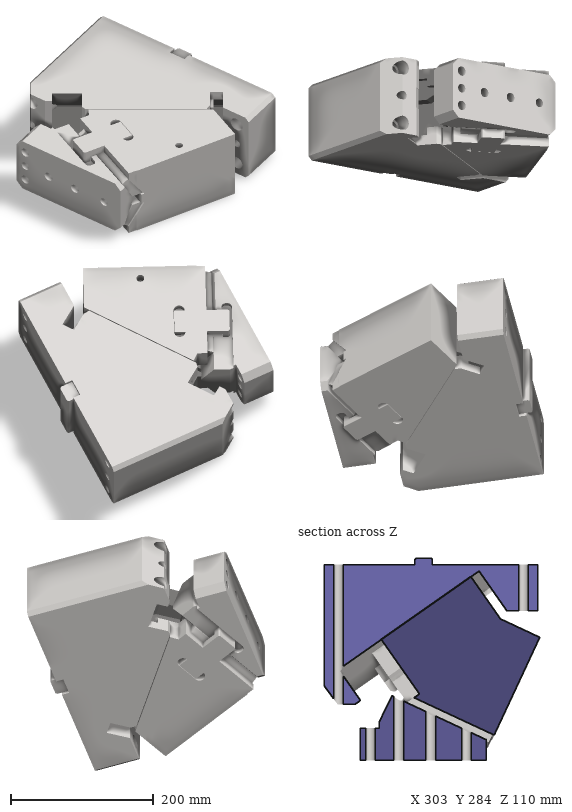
import cadquery as cq
import math


SLIDE_ANGLE = 35.0
DRIVE_ANGLE = -25.0
CHANNEL_SLOPE = math.tan(math.radians(35.0))
RIDGE_SLOPE = math.tan(math.radians(30.0))
PLATE_BACK_SLOPE = math.tan(math.radians(35.0))

BODY_HALF = 110.0 / 2
BASE_LENGTH = 300.2
BASE_TOP = 275.0
BASE_CHAMFER = 5.8
LUG_BOTTOM = 78.5
LUG_BEVEL_X = 19.5
LUG_BEVEL_TOP = 104.8
LUG_FLAT_END = 44.0
ARM_BOTTOM = 210.0
ARM_CORNER_X = 256.0
LIP_FACE = 90.5
NOSE_START = 132.5
NOSE_END = 312.0
ARM_FACE = 330.2
NOSE_BEVEL = 4.5
NOSE_FACE = 22.0
LIP_TIP = 38.8
POCKET_FLOOR = 55.0
SLOT_FLOOR = 58.8
NOSE_BEVEL_START = 4.5
NOSE_BEVEL_END = 7.5
LIP_RECESS_HALF = 14.5
LIP_RECESS_DEPTH = 0.5
LIP_RECESS_START = 78.8

NECK_HALF = 30.0
HEAD_HALF = 41.0
HEAD_START = 41.2
V_FLAT_HALF = 1.5

BOLT_X = 20.5
LUG_BOLT_Z = 40.0
ARM_BOLT_Z = 35.0
BOLT_HOLE = 13.0
BOLT_HEAD = 20.0
BOLT_HEAD_DEPTH = 24.2
DOWEL_HOLE = 12.5

KEY_LEFT = 127.2
KEY_WIDTH = 25.0
KEY_BOTTOM = 264.5
KEY_TOP = 284.0
KEY_HALF = 50.0
KEY_CHAMFER = 2.0

DRIVER_LEFT = 50.3
DRIVER_RIGHT = 228.0
DRIVER_HALF = 43.3
DRIVER_CHAMFER = 9.7
DRIVER_SHOULDER = 45.5
DRIVER_STEP_X = 77.2
DRIVER_STEP_TOP = 54.5
RIDGE_START = 48.0
RIDGE_EDGE = 100.3
RIDGE_TOP = 123.0
GROOVE_BOTTOM = 77.2
GROOVE_WIDTH = 14.8
GROOVE_END = 147.2
GROOVE_RADIUS = 6.0
GROOVE_FLOOR = 36.0

DRIVER_ROW_X = 65.0
DRIVER_ROW_Z = 24.8
DRIVER_BOLT_HOLE = 13.3
DRIVER_BOLT_XS = (104.8, 150.0)
DRIVER_DOWEL_XS = (DRIVER_ROW_X, 200.0)

GUIDE_GAP = 1.2
SLIDER_FACE = NOSE_FACE - GUIDE_GAP
SLIDER_START = 141.8
SLIDER_END = 317.0
SLIDER_LEFT = 64.0
SLIDER_RIGHT = 201.5
END_STEP_HEIGHT = 12.0
END_STEP_DEPTH = 1.0
SLIDER_SHOULDER = 127.5
SLIDER_BOTTOM = 113.3
SLIDER_CORNER = 284.8

PLATE_START = 74.0
PLATE_END = 198.5
PLATE_OUTER = 37.0
PLATE_INNER = 8.0
PLATE_ROUND = 1.5
PLATE_EDGE_RISE = 12.7
RELIEF_TOP = 133.0

SPRING_POCKET_DEPTH = 21.2
SPRING_POCKET_HALF = 18.2
SPRING_MIDDLE_HALF = 15.5
SPRING_NARROW_HALF = 12.7
SPRING_TAPER_START = 35.0
SPRING_TAPER_MIDDLE = 40.3
SPRING_TAPER_END = 44.8

CLAW_LEFT = 98.0
CLAW_RIGHT = 131.5
CLAW_TIP = 81.2
CLAW_ROOT = 158.7
CLAW_CHAMFER = 1.8
CLAW_HOOK_TOP = 90.5
CLAW_BAR_BOTTOM = 44.5
RELIEF_HOLE_OUT = 151.5
RELIEF_HOLE_RADIUS = 8.0
RELIEF_HOLE_DEPTH = 9.0

PIN_HOLE_X = 252.5
PIN_HOLE_Y = 107.8
PIN_HOLE = 11.0
PIN_HOLE_DEPTH = 18.2


def guide_point(angle, along, out):
    """XY point at a distance along a guide direction and square to it."""
    a = math.radians(angle)
    return (along * math.cos(a) - out * math.sin(a), along * math.sin(a) + out * math.cos(a))


def slide_point(along, out):
    return guide_point(SLIDE_ANGLE, along, out)


def drive_point(along, out):
    return guide_point(DRIVE_ANGLE, along, out)


def drive_rectangle(left, right, bottom, top):
    """Rectangle between two distances along and two square to the drive direction."""
    return [
        drive_point(left, bottom),
        drive_point(right, bottom),
        drive_point(right, top),
        drive_point(left, top),
    ]


def plate(points, bottom, top):
    """Flat plate with an XY outline between two Z levels."""
    return cq.Workplane("XY").workplane(offset=bottom).polyline(points).close().extrude(top - bottom)


def guide_prism(angle, section, start, end):
    """Prism along a guide direction; the section lists (out, Z) points."""
    a = math.radians(angle)
    plane = cq.Plane(
        origin=(start * math.cos(a), start * math.sin(a), 0),
        xDir=(-math.sin(a), math.cos(a), 0),
        normal=(math.cos(a), math.sin(a), 0),
    )
    return cq.Workplane(plane).polyline(section).close().extrude(end - start)


def mirrored_section(half_section):
    """Close a section by mirroring its upper half about Z = 0."""
    return half_section + [(out, -z) for out, z in reversed(half_section)]


def with_mirror(shape):
    return shape.union(shape.mirror("XY"))


def cylinder_along_y(x, z, diameter, start, end):
    return cq.Workplane("XZ", origin=(x, start, z)).circle(diameter / 2).extrude(start - end)


def channel_roof(z):
    """Height of the channel V flank, square to the slide direction."""
    return POCKET_FLOOR + (BODY_HALF - z) * CHANNEL_SLOPE


def ridge_flank(z):
    """Height of the driver ridge flank, square to the drive direction."""
    return RIDGE_EDGE + (DRIVER_HALF - z) * RIDGE_SLOPE


def rail_section(bottom):
    """T-shaped section with a V top, shared by the base channel and the slider rail."""
    return mirrored_section([
        (bottom, NECK_HALF),
        (HEAD_START, NECK_HALF),
        (HEAD_START, HEAD_HALF),
        (channel_roof(HEAD_HALF), HEAD_HALF),
        (channel_roof(V_FLAT_HALF), V_FLAT_HALF),
    ])


def base_block():
    outline = [
        (0, BASE_TOP),
        (0, LUG_BEVEL_TOP),
        (LUG_BEVEL_X, LUG_BOTTOM),
        (LUG_FLAT_END, LUG_BOTTOM),
        slide_point(LIP_FACE, LIP_TIP),
        slide_point(LIP_FACE, POCKET_FLOOR),
        slide_point(NOSE_START, POCKET_FLOOR),
        slide_point(NOSE_START, NOSE_FACE + NOSE_BEVEL_START),
        slide_point(NOSE_START + NOSE_BEVEL, NOSE_FACE),
        slide_point(NOSE_END - NOSE_BEVEL, NOSE_FACE),
        slide_point(NOSE_END, NOSE_FACE + NOSE_BEVEL_END),
        slide_point(NOSE_END, SLOT_FLOOR),
        slide_point(ARM_FACE, SLOT_FLOOR),
        (ARM_CORNER_X, ARM_BOTTOM),
        (BASE_LENGTH, ARM_BOTTOM),
        (BASE_LENGTH, BASE_TOP),
    ]
    block = plate(outline, -BODY_HALF, BODY_HALF)
    return block.edges("(<X or >X) and (<Z or >Z)").chamfer(BASE_CHAMFER)


def guide_channel():
    return guide_prism(SLIDE_ANGLE, rail_section(0), LIP_FACE, ARM_FACE)


def lug_groove():
    """Full-width V in the pocket floor beside the lug."""
    section = mirrored_section([
        (POCKET_FLOOR, BODY_HALF),
        (channel_roof(V_FLAT_HALF), V_FLAT_HALF),
    ])
    return guide_prism(SLIDE_ANGLE, section, LIP_FACE, NOSE_START)


def lip_recess():
    """Shallow recess across the middle of the lip tip."""
    section = mirrored_section([
        (0, LIP_RECESS_HALF),
        (LIP_TIP + LIP_RECESS_DEPTH, LIP_RECESS_HALF),
    ])
    return guide_prism(SLIDE_ANGLE, section, LIP_RECESS_START, LIP_FACE)


def mounting_holes():
    """Two counterbored bolt holes and a dowel hole through both ends of the base."""
    holes = cq.Workplane("XY")
    rows = (
        (BOLT_X, LUG_BOTTOM, LUG_BOLT_Z),
        (BASE_LENGTH - BOLT_X, ARM_BOTTOM, ARM_BOLT_Z),
    )
    for x, bottom, bolt_z in rows:
        holes = holes.add(cylinder_along_y(x, 0, DOWEL_HOLE, bottom, BASE_TOP))
        for z in (-bolt_z, bolt_z):
            holes = holes.add(cylinder_along_y(x, z, BOLT_HOLE, bottom, BASE_TOP))
            holes = holes.add(cylinder_along_y(x, z, BOLT_HEAD, bottom, bottom + BOLT_HEAD_DEPTH))
    return holes.combine()


def keyway():
    return cq.Workplane("XY").box(
        KEY_WIDTH, BASE_TOP - KEY_BOTTOM, 2 * BODY_HALF, centered=(False, False, True)
    ).translate((KEY_LEFT, KEY_BOTTOM, 0))


def key():
    bar = cq.Workplane("XY").box(
        KEY_WIDTH, KEY_TOP - KEY_BOTTOM, 2 * KEY_HALF, centered=(False, False, True)
    )
    return bar.edges(">Y and |Z").chamfer(KEY_CHAMFER).translate((KEY_LEFT, KEY_BOTTOM, 0))


def make_base():
    base = base_block().cut(guide_channel()).cut(lug_groove()).cut(lip_recess())
    base = base.cut(mounting_holes())
    return base.cut(keyway()).union(key())


def driver_block():
    ridge_tip = drive_point(RIDGE_START, RIDGE_TOP)
    slope = math.tan(math.radians(DRIVE_ANGLE))
    outline = [
        (DRIVER_LEFT, 0),
        (DRIVER_RIGHT, 0),
        (DRIVER_RIGHT, ridge_tip[1] + (DRIVER_RIGHT - ridge_tip[0]) * slope),
        ridge_tip,
        (DRIVER_STEP_X, DRIVER_STEP_TOP),
        (DRIVER_STEP_X, DRIVER_SHOULDER),
        (DRIVER_LEFT, DRIVER_SHOULDER),
    ]
    block = plate(outline, -DRIVER_HALF, DRIVER_HALF)
    return block.edges("(<X or >X) and (<Z or >Z)").chamfer(DRIVER_CHAMFER)


def ridge_flank_cut():
    """Material removed above one flank of the V ridge."""
    flat_half = DRIVER_HALF - (RIDGE_TOP - RIDGE_EDGE) / RIDGE_SLOPE
    section = [
        (RIDGE_EDGE, DRIVER_HALF),
        (RIDGE_TOP, DRIVER_HALF),
        (RIDGE_TOP, flat_half),
    ]
    return guide_prism(DRIVE_ANGLE, section, 0, DRIVER_RIGHT)


def claw_groove():
    """Milled path of the claw: a round-ended groove, open upwards left of the claw."""
    groove_top = GROOVE_BOTTOM + GROOVE_WIDTH
    groove = plate(drive_rectangle(0, GROOVE_END, GROOVE_BOTTOM, groove_top), GROOVE_FLOOR, DRIVER_HALF)
    for out in (GROOVE_BOTTOM, groove_top):
        corner = cq.selectors.NearestToPointSelector((*drive_point(GROOVE_END, out), GROOVE_FLOOR))
        groove = groove.edges("|Z").edges(corner).fillet(GROOVE_RADIUS)
    open_part = plate(drive_rectangle(0, CLAW_RIGHT, GROOVE_BOTTOM, RIDGE_TOP), GROOVE_FLOOR, DRIVER_HALF)
    return groove.union(open_part)


def driver_holes():
    row = [(DRIVER_ROW_X, z, DRIVER_BOLT_HOLE) for z in (-DRIVER_ROW_Z, DRIVER_ROW_Z)]
    row += [(x, 0, DRIVER_BOLT_HOLE) for x in DRIVER_BOLT_XS]
    row += [(x, 0, DOWEL_HOLE) for x in DRIVER_DOWEL_XS]
    holes = cq.Workplane("XY")
    for x, z, diameter in row:
        holes = holes.add(cylinder_along_y(x, z, diameter, 0, RIDGE_TOP))
    return holes.combine()


def make_driver():
    driver = driver_block()
    driver = driver.cut(with_mirror(ridge_flank_cut()))
    driver = driver.cut(with_mirror(claw_groove()))
    return driver.cut(driver_holes())


def slider_block():
    outline = [
        slide_point(SLIDER_START, SLIDER_FACE),
        drive_point(SLIDER_LEFT, SLIDER_SHOULDER),
        drive_point(SLIDER_LEFT, SLIDER_BOTTOM),
        drive_point(SLIDER_RIGHT - END_STEP_DEPTH, SLIDER_BOTTOM),
        drive_point(SLIDER_RIGHT - END_STEP_DEPTH, SLIDER_BOTTOM + END_STEP_HEIGHT),
        drive_point(SLIDER_RIGHT, SLIDER_BOTTOM + END_STEP_HEIGHT),
        drive_point(SLIDER_RIGHT, SLIDER_CORNER),
        slide_point(SLIDER_END, SLIDER_FACE),
    ]
    return plate(outline, -BODY_HALF, BODY_HALF)


def slider_rail():
    return guide_prism(SLIDE_ANGLE, rail_section(SLIDER_FACE), SLIDER_START, SLIDER_END)


def plate_back(z):
    """Height of the wear plate back, square to the drive direction."""
    return RIDGE_EDGE + PLATE_EDGE_RISE + (DRIVER_HALF - z) * PLATE_BACK_SLOPE


def plate_back_edge():
    """Z at which the wear plate back meets the slider underside."""
    return DRIVER_HALF - (SLIDER_BOTTOM - RIDGE_EDGE - PLATE_EDGE_RISE) / PLATE_BACK_SLOPE


def ridge_clearance():
    """V groove with a central relief slot that lets the slider sit over the ridge."""
    edge = DRIVER_HALF - (SLIDER_BOTTOM - RIDGE_EDGE) / RIDGE_SLOPE
    section = mirrored_section([
        (SLIDER_BOTTOM, edge),
        (ridge_flank(PLATE_INNER), PLATE_INNER),
        (RELIEF_TOP, PLATE_INNER),
    ])
    return guide_prism(DRIVE_ANGLE, section, 0, DRIVER_RIGHT)


def plate_recess():
    """Wider V recess that takes both wear plates and leaves a rib between their backs."""
    section = mirrored_section([
        (SLIDER_BOTTOM, plate_back_edge()),
        (plate_back(PLATE_INNER), PLATE_INNER),
        (RELIEF_TOP, PLATE_INNER),
    ])
    return guide_prism(DRIVE_ANGLE, section, PLATE_START, DRIVER_RIGHT)


def wear_plate():
    """Plate between the ridge flank and the recess, with its low outer edge rounded."""
    section = [
        (ridge_flank(PLATE_OUTER), PLATE_OUTER),
        (SLIDER_BOTTOM, plate_back_edge()),
        (plate_back(PLATE_INNER), PLATE_INNER),
        (ridge_flank(PLATE_INNER), PLATE_INNER),
    ]
    low_edge = cq.selectors.NearestToPointSelector(
        (*drive_point((PLATE_START + PLATE_END) / 2, ridge_flank(PLATE_OUTER)), PLATE_OUTER)
    )
    return guide_prism(DRIVE_ANGLE, section, PLATE_START, PLATE_END).edges(low_edge).fillet(PLATE_ROUND)


def spring_pocket():
    """Pocket in the left end of the slider and its rail, tapering inside the rail."""
    section = mirrored_section([
        (0, SPRING_POCKET_HALF),
        (SPRING_TAPER_START, SPRING_POCKET_HALF),
        (SPRING_TAPER_MIDDLE, SPRING_MIDDLE_HALF),
        (SPRING_TAPER_END, SPRING_NARROW_HALF),
        (channel_roof(0), SPRING_NARROW_HALF),
    ])
    start = SLIDER_START - SPRING_POCKET_DEPTH
    return guide_prism(SLIDE_ANGLE, section, start, SLIDER_START + SPRING_POCKET_DEPTH)


def claw():
    """Bar set flush into the slider face, reaching down into the driver groove."""
    outline = [
        drive_point(CLAW_LEFT, CLAW_ROOT),
        drive_point(CLAW_LEFT, CLAW_TIP + CLAW_CHAMFER),
        drive_point(CLAW_LEFT + CLAW_CHAMFER, CLAW_TIP),
        drive_point(CLAW_RIGHT - CLAW_CHAMFER, CLAW_TIP),
        drive_point(CLAW_RIGHT, CLAW_TIP + CLAW_CHAMFER),
        drive_point(CLAW_RIGHT, CLAW_ROOT),
    ]
    bar = plate(outline, GROOVE_FLOOR, BODY_HALF)
    behind_hook = plate(
        drive_rectangle(CLAW_LEFT, CLAW_RIGHT, CLAW_HOOK_TOP, CLAW_ROOT),
        GROOVE_FLOOR,
        CLAW_BAR_BOTTOM,
    )
    return bar.cut(behind_hook)


def claw_root_pocket():
    """End of the claw pocket, with a round relief at both corners."""
    floor = BODY_HALF - RELIEF_HOLE_DEPTH
    centers = [drive_point(along, RELIEF_HOLE_OUT) for along in (CLAW_LEFT, CLAW_RIGHT)]
    reliefs = (
        cq.Workplane("XY")
        .workplane(offset=floor)
        .pushPoints(centers)
        .circle(RELIEF_HOLE_RADIUS)
        .extrude(RELIEF_HOLE_DEPTH)
    )
    pocket_end = RELIEF_HOLE_OUT + RELIEF_HOLE_RADIUS
    end_strip = drive_rectangle(CLAW_LEFT, CLAW_RIGHT, RELIEF_HOLE_OUT, pocket_end)
    return reliefs.union(plate(end_strip, floor, BODY_HALF))


def pin_hole():
    return (
        cq.Workplane("XY", origin=(PIN_HOLE_X, PIN_HOLE_Y, BODY_HALF))
        .circle(PIN_HOLE / 2)
        .extrude(-PIN_HOLE_DEPTH)
    )


def make_slider():
    slider = slider_block().union(slider_rail())
    slider = slider.cut(ridge_clearance()).cut(plate_recess())
    slider = slider.union(with_mirror(wear_plate())).cut(spring_pocket())
    slider = slider.cut(with_mirror(claw_root_pocket())).cut(pin_hole())
    return slider.union(with_mirror(claw()))


base = make_base()
driver = make_driver()
slider = make_slider()

result = cq.Compound.makeCompound([body.solids().val() for body in (base, driver, slider)])